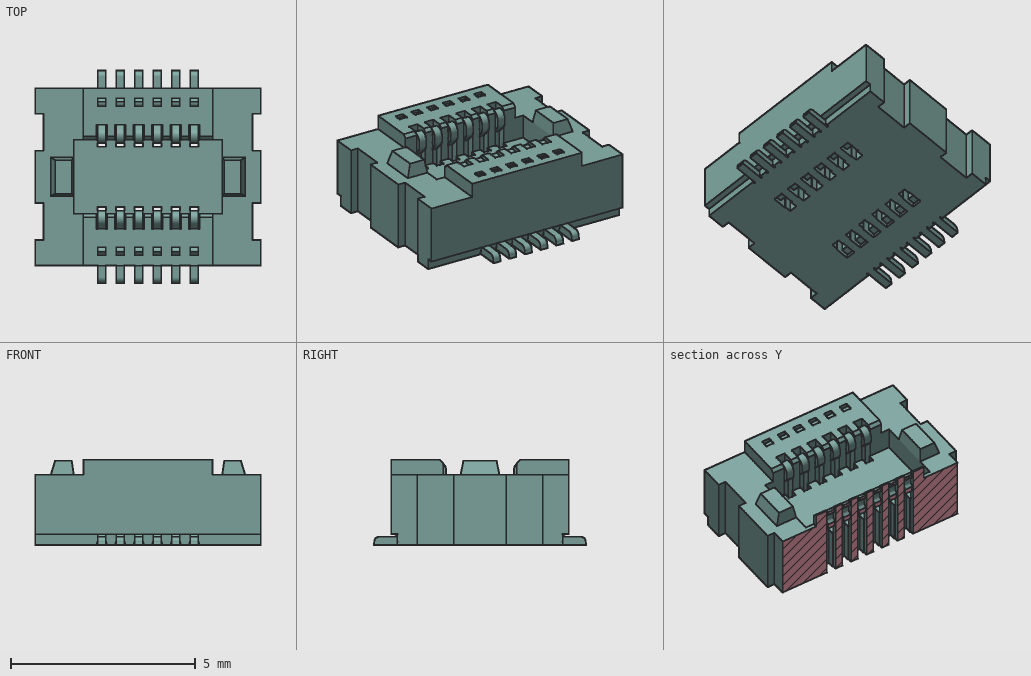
import cadquery as cq
import math

ARC_MIDDLE = math.sqrt(0.5)

LENGTH = 6.1
WIDTH = 4.8
HEIGHT = 2.31
BODY_TOP = 1.91
BODY_END_X = LENGTH / 2
BODY_SIDE_Y = WIDTH / 2

STEP_HEIGHT = 0.3
STEP_INSET = 0.165
STEP_WALL_Y = BODY_SIDE_Y - STEP_INSET

NOTCH_DEPTH = 0.22
NOTCH_INNER_Y = 0.71
NOTCH_OUTER_Y = 1.7

CAVITY_LENGTH = 4.01
CAVITY_HALF_WIDTH = 1.0
CAVITY_FLOOR = 1.24
RAIL_LENGTH = 3.5
RAIL_CHAMFER = 0.09

PEG_INNER_X = CAVITY_LENGTH / 2
PEG_OUTER_X = 2.63
PEG_TOP_INNER_X = 2.06
PEG_TOP_OUTER_X = 2.515
PEG_BASE_HALF_WIDTH = 0.525
PEG_TOP_HALF_WIDTH = 0.45
PEG_TOP = 2.29

CONTACT_COUNT = 6
PITCH = 0.5
CONTACT_WIDTH = 0.225

SLOT_WIDTH = 0.275
SLOT_OUTER_Y = 1.4
FLOOR_SLOT_INNER_Y = 0.82

STRIP = 0.12
ARCH_RADIUS = 0.21
ARCH_INNER_Y = 0.915
ARCH_CENTRE_Y = ARCH_INNER_Y + ARCH_RADIUS
ARCH_CENTRE_Z = 2.03
KNEE_CENTRE_Z = 1.89
TAIL_ANGLE = 40
INNERMOST_ANGLE = 180
ARCH_MID_ANGLE = 110
KNEE_MID_ANGLE = 202.5
KNEE_END_ANGLE = 225
LEG_INNER_Y = 1.19
FOOT_BOTTOM = 0.12
ANCHOR = 0.03

WINDOW_INNER_Y = 1.905
WINDOW_OUTER_Y = 2.12
CREST_Y = 2.03
CREST_Z = 2.295
CREST_OUTER_Z = 2.195
CREST_INNER_Z = 2.23
CREST_BULGE = 0.015

LEAD_TIP_Y = 2.88
LEAD_EMBED = 0.165
LEAD_THICKNESS = 0.23
LEAD_ROUND_Y = 2.72
LEAD_FACE_Y = 2.86
LEAD_FACE_Z = 0.085
BEND_RADIUS = STEP_HEIGHT - LEAD_THICKNESS

RELIEF_WIDTH = 0.3
RELIEF_HEIGHT = 0.1
RELIEF_DEPTH = 0.06


def block(x_min, x_max, y_min, y_max, z_min, z_max):
    """Axis-aligned box given by its limits."""
    size = (x_max - x_min, y_max - y_min, z_max - z_min)
    return cq.Workplane("XY").box(*size, centered=False).translate((x_min, y_min, z_min))


def extruded(profile, width):
    """Extrude a YZ profile, centred on X = 0."""
    return profile.close().extrude(width / 2, both=True)


def profile_start(y, z):
    return cq.Workplane("YZ").moveTo(y, z)


def both_rows(shape):
    """Repeat a +Y row shape at every contact position, and mirror it to the -Y row."""
    row = cq.Workplane("XY")
    for i in range(CONTACT_COUNT):
        x = (i - (CONTACT_COUNT - 1) / 2) * PITCH
        row = row.add(shape.translate((x, 0, 0)))
    row = row.combine()
    return row.union(row.mirror("XZ"))


def make_body():
    body = block(-BODY_END_X, BODY_END_X, -STEP_WALL_Y, STEP_WALL_Y, 0, BODY_TOP)
    body = body.union(block(-BODY_END_X, BODY_END_X, -BODY_SIDE_Y, BODY_SIDE_Y, STEP_HEIGHT, BODY_TOP))
    notch = block(BODY_END_X - NOTCH_DEPTH, BODY_END_X, NOTCH_INNER_Y, NOTCH_OUTER_Y, 0, BODY_TOP)
    notches = notch.union(notch.mirror("XZ"))
    return body.cut(notches).cut(notches.mirror("YZ"))


def make_rails():
    rail = extruded(
        profile_start(CAVITY_HALF_WIDTH, BODY_TOP)
        .lineTo(BODY_SIDE_Y, BODY_TOP)
        .lineTo(BODY_SIDE_Y, HEIGHT)
        .lineTo(CAVITY_HALF_WIDTH + RAIL_CHAMFER, HEIGHT)
        .lineTo(CAVITY_HALF_WIDTH, HEIGHT - RAIL_CHAMFER),
        RAIL_LENGTH,
    )
    return rail.union(rail.mirror("XZ"))


def make_cavity():
    half_length = CAVITY_LENGTH / 2
    return block(-half_length, half_length, -CAVITY_HALF_WIDTH, CAVITY_HALF_WIDTH, CAVITY_FLOOR, HEIGHT)


def make_pegs():
    base_centre = (PEG_INNER_X + PEG_OUTER_X) / 2
    top_centre = (PEG_TOP_INNER_X + PEG_TOP_OUTER_X) / 2
    peg = (
        cq.Workplane("XY", origin=(base_centre, 0, BODY_TOP))
        .rect(PEG_OUTER_X - PEG_INNER_X, 2 * PEG_BASE_HALF_WIDTH)
        .workplane(offset=PEG_TOP - BODY_TOP)
        .center(top_centre - base_centre, 0)
        .rect(PEG_TOP_OUTER_X - PEG_TOP_INNER_X, 2 * PEG_TOP_HALF_WIDTH)
        .loft(ruled=True)
    )
    return peg.union(peg.mirror("YZ"))


def make_slot():
    """Wide slot cut through the rail, with a narrower through slot in the cavity floor."""
    half = SLOT_WIDTH / 2
    narrow_half = CONTACT_WIDTH / 2
    rail_slot = block(-half, half, CAVITY_HALF_WIDTH, SLOT_OUTER_Y, 0, HEIGHT)
    floor_slot = block(-narrow_half, narrow_half, FLOOR_SLOT_INNER_Y, CAVITY_HALF_WIDTH, 0, CAVITY_FLOOR)
    return rail_slot.union(floor_slot)


def make_window():
    """Pocket whose floor is the rounded crest of the contact below it."""
    mid_y = (CREST_Y + WINDOW_INNER_Y) / 2 - CREST_BULGE
    mid_z = (CREST_Z + CREST_INNER_Z) / 2 + CREST_BULGE
    return extruded(
        profile_start(WINDOW_OUTER_Y, HEIGHT)
        .lineTo(WINDOW_OUTER_Y, CREST_OUTER_Z)
        .lineTo(CREST_Y, CREST_Z)
        .threePointArc((mid_y, mid_z), (WINDOW_INNER_Y, CREST_INNER_Z))
        .lineTo(WINDOW_INNER_Y, HEIGHT),
        CONTACT_WIDTH,
    )


def make_relief():
    """Trapezoid notch that widens towards the bottom of the housing."""
    return (
        cq.Workplane("XZ", origin=(0, STEP_WALL_Y, 0))
        .moveTo(-RELIEF_WIDTH / 2, 0)
        .lineTo(RELIEF_WIDTH / 2, 0)
        .lineTo(CONTACT_WIDTH / 2, RELIEF_HEIGHT)
        .lineTo(-CONTACT_WIDTH / 2, RELIEF_HEIGHT)
        .close()
        .extrude(RELIEF_DEPTH)
    )


def bend_point(radius, angle, centre_z=ARCH_CENTRE_Z):
    """Point on a contact bend, with the angle in degrees measured from +Y."""
    a = math.radians(angle)
    return (ARCH_CENTRE_Y + radius * math.cos(a), centre_z + radius * math.sin(a))


def tangent_end(start, angle, end_y):
    """End at end_y of the straight stretch leaving a bend tangentially at the given angle."""
    y, z = start
    return (end_y, z - (end_y - y) / math.tan(math.radians(angle)))


def make_contact():
    """Foot anchored in the housing, set-back leg, bulging knee, arch and tail anchored in the slot end."""
    inner_radius = ARCH_RADIUS - STRIP
    anchor_y = SLOT_OUTER_Y + ANCHOR
    foot_top = FOOT_BOTTOM + STRIP
    leg_outer_y = LEG_INNER_Y + STRIP

    knee_end = bend_point(ARCH_RADIUS, KNEE_END_ANGLE, KNEE_CENTRE_Z)
    inner_knee_end = bend_point(inner_radius, KNEE_END_ANGLE, KNEE_CENTRE_Z)
    leg_top = tangent_end(knee_end, KNEE_END_ANGLE, LEG_INNER_Y)
    inner_leg_top = tangent_end(inner_knee_end, KNEE_END_ANGLE, leg_outer_y)

    arch_end = bend_point(ARCH_RADIUS, TAIL_ANGLE)
    inner_arch_end = bend_point(inner_radius, TAIL_ANGLE)
    tail_end = tangent_end(arch_end, TAIL_ANGLE, anchor_y)
    inner_tail_end = tangent_end(inner_arch_end, TAIL_ANGLE, anchor_y)

    return extruded(
        profile_start(anchor_y, FOOT_BOTTOM)
        .lineTo(LEG_INNER_Y, FOOT_BOTTOM)
        .lineTo(*leg_top)
        .lineTo(*knee_end)
        .threePointArc(
            bend_point(ARCH_RADIUS, KNEE_MID_ANGLE, KNEE_CENTRE_Z),
            bend_point(ARCH_RADIUS, INNERMOST_ANGLE, KNEE_CENTRE_Z),
        )
        .lineTo(*bend_point(ARCH_RADIUS, INNERMOST_ANGLE))
        .threePointArc(bend_point(ARCH_RADIUS, ARCH_MID_ANGLE), arch_end)
        .lineTo(*tail_end)
        .lineTo(*inner_tail_end)
        .lineTo(*inner_arch_end)
        .threePointArc(bend_point(inner_radius, ARCH_MID_ANGLE), bend_point(inner_radius, INNERMOST_ANGLE))
        .lineTo(*bend_point(inner_radius, INNERMOST_ANGLE, KNEE_CENTRE_Z))
        .threePointArc(bend_point(inner_radius, KNEE_MID_ANGLE, KNEE_CENTRE_Z), inner_knee_end)
        .lineTo(*inner_leg_top)
        .lineTo(leg_outer_y, foot_top)
        .lineTo(anchor_y, foot_top),
        CONTACT_WIDTH,
    )


def make_lead():
    """Flat lead with a rounded tip, bending up into the housing at the undercut wall."""
    root_y = STEP_WALL_Y - LEAD_EMBED
    bend_mid = BEND_RADIUS * (1 - ARC_MIDDLE)
    round_y = LEAD_FACE_Y - LEAD_ROUND_Y
    round_z = LEAD_THICKNESS - LEAD_FACE_Z
    tip_mid = (LEAD_ROUND_Y + round_y * ARC_MIDDLE, LEAD_FACE_Z + round_z * ARC_MIDDLE)
    return extruded(
        profile_start(root_y, 0)
        .lineTo(LEAD_TIP_Y, 0)
        .lineTo(LEAD_FACE_Y, LEAD_FACE_Z)
        .threePointArc(tip_mid, (LEAD_ROUND_Y, LEAD_THICKNESS))
        .lineTo(STEP_WALL_Y + BEND_RADIUS, LEAD_THICKNESS)
        .threePointArc(
            (STEP_WALL_Y + bend_mid, LEAD_THICKNESS + bend_mid),
            (STEP_WALL_Y, LEAD_THICKNESS + BEND_RADIUS),
        )
        .lineTo(root_y, LEAD_THICKNESS + BEND_RADIUS),
        CONTACT_WIDTH,
    )


housing = make_body().union(make_rails()).cut(make_cavity()).union(make_pegs())
for cutter in (make_slot(), make_window(), make_relief()):
    housing = housing.cut(both_rows(cutter))
result = housing.union(both_rows(make_contact())).union(both_rows(make_lead()))